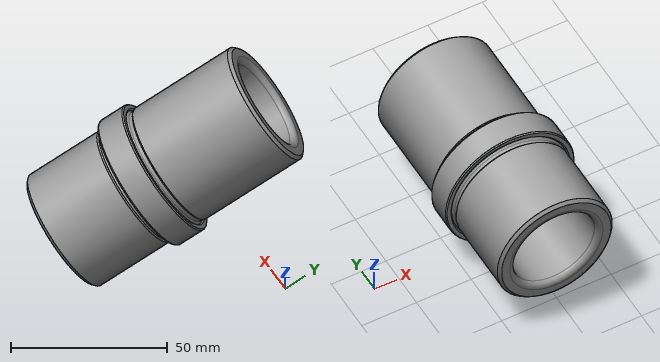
import cadquery as cq
import math

length = 80.0
front_length = 30.0
collar_width = 10.0
collar_radius = 23.5
body_radius = 21.0
bore_radius = 15.0

end_chamfer = 1.0
collar_chamfer_width = 0.5
collar_chamfer_depth = 0.3
bore_rounding = 2.0

groove_width = 2.0
groove_depth = 0.5
face_recess_depth = 0.5
face_recess_radius = 21.8
root_rounding = 0.7

front_y = -length / 2
back_y = length / 2
collar_front_y = front_y + front_length
collar_back_y = collar_front_y + collar_width
groove_floor_radius = body_radius - groove_depth


def cylinder(radius, start_y, end_y):
    """Solid cylinder along Y between two stations."""
    plane = cq.Plane(origin=(0, start_y, 0), xDir=(1, 0, 0), normal=(0, 1, 0))
    return cq.Workplane(plane).circle(radius).extrude(end_y - start_y)


def make_body():
    """Plain body with both ends chamfered."""
    body = cylinder(body_radius, front_y, back_y)
    return body.faces("<Y or >Y").chamfer(end_chamfer)


def make_collar():
    """Locating collar with both rims chamfered."""
    collar = cylinder(collar_radius, collar_front_y, collar_back_y)
    return collar.faces("<Y or >Y").edges().chamfer(collar_chamfer_width, collar_chamfer_depth)


def make_relief(face_y, outward):
    """Ring removed beside a collar face; outward is the Y direction away from the collar."""
    body_end_y = face_y + outward * groove_width
    floor_end_y = body_end_y - outward * groove_depth
    recess_y = face_y - outward * face_recess_depth
    root_top = groove_floor_radius + root_rounding
    arc_offset = root_rounding * (1 - math.cos(math.pi / 4))
    profile = (
        cq.Workplane("XY")
        .moveTo(face_recess_radius, body_end_y)
        .lineTo(body_radius, body_end_y)
        .lineTo(groove_floor_radius, floor_end_y)
        .lineTo(groove_floor_radius, recess_y + outward * root_rounding)
        .threePointArc(
            (groove_floor_radius + arc_offset, recess_y + outward * arc_offset),
            (root_top, recess_y),
        )
        .lineTo(face_recess_radius, face_y)
        .close()
    )
    return profile.revolve(360, (0, 0, 0), (0, 1, 0))


def cut_bore(solid):
    """Through bore with rounded mouths at both ends."""
    bored = solid.cut(cylinder(bore_radius, front_y, back_y))
    mouths = bored.faces("<Y or >Y").edges(cq.selectors.RadiusNthSelector(0))
    return mouths.fillet(bore_rounding)


bush = make_body().union(make_collar())
for face_y, outward in ((collar_front_y, -1), (collar_back_y, 1)):
    bush = bush.cut(make_relief(face_y, outward))

result = cut_bore(bush)